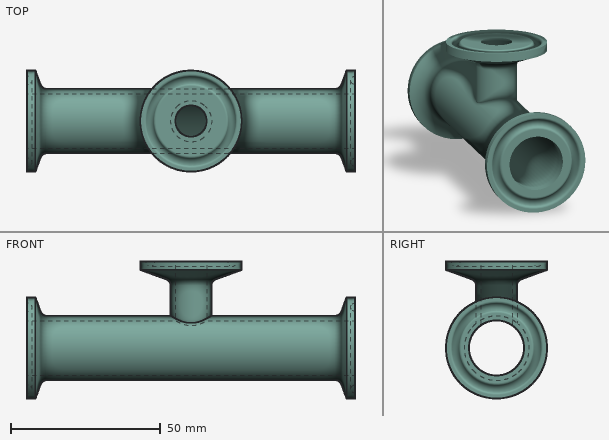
import math

import cadquery as cq

RUN_LENGTH = 110.0
RUN_OUTER_RADIUS = 21.7 / 2
RUN_BORE_RADIUS = 18.4 / 2

BRANCH_HEIGHT = 29.0
BRANCH_OUTER_RADIUS = 13.8 / 2
BRANCH_BORE_RADIUS = 10.5 / 2

FLANGE_RADIUS = 34.0 / 2
RIM_THICKNESS = 2.85
CONE_ANGLE = math.radians(20)
NECK_FILLET = 2.0

GROOVE_RADIUS = 27.5 / 2
GROOVE_WIDTH = 4.0
GROOVE_LIP_RADIUS = 0.8
GROOVE_WALL_ANGLE = math.radians(67)
GROOVE_WALL_LENGTH = 0.4


def flanged_end(tube_radius, length):
    """Solid tube along Z, with its flange face at z = 0 and the tube running to z = length."""
    cone_end = RIM_THICKNESS + (FLANGE_RADIUS - tube_radius) * math.tan(CONE_ANGLE)

    turn = math.pi / 2 - CONE_ANGLE
    setback = NECK_FILLET * math.tan(turn / 2)
    cone_tangent = (
        tube_radius + setback * math.cos(CONE_ANGLE),
        cone_end - setback * math.sin(CONE_ANGLE),
    )
    tube_tangent = (tube_radius, cone_end + setback)
    fillet_centre = (tube_radius + NECK_FILLET, cone_end + setback)
    mid_angle = turn / 2
    fillet_mid = (
        fillet_centre[0] - NECK_FILLET * math.cos(mid_angle),
        fillet_centre[1] - NECK_FILLET * math.sin(mid_angle),
    )

    profile = (
        cq.Workplane("XZ")
        .lineTo(FLANGE_RADIUS, 0)
        .lineTo(FLANGE_RADIUS, RIM_THICKNESS)
        .lineTo(*cone_tangent)
        .threePointArc(fillet_mid, tube_tangent)
        .lineTo(tube_radius, length)
        .lineTo(0, length)
        .close()
    )
    body = profile.revolve(360, (0, 0, 0), (0, 1, 0))
    return body.cut(gasket_groove())


def gasket_groove():
    """Ring to remove from a flange face at z = 0, reaching into z > 0."""
    sine = math.sin(GROOVE_WALL_ANGLE)
    cosine = math.cos(GROOVE_WALL_ANGLE)
    half_angle = GROOVE_WALL_ANGLE / 2

    lip_start = GROOVE_WIDTH / 2
    lip_mid = lip_start - GROOVE_LIP_RADIUS * math.sin(half_angle)
    lip_mid_depth = GROOVE_LIP_RADIUS * (1 - math.cos(half_angle))
    wall_top = lip_start - GROOVE_LIP_RADIUS * sine
    wall_top_depth = GROOVE_LIP_RADIUS * (1 - cosine)
    wall_foot = wall_top - GROOVE_WALL_LENGTH * cosine
    wall_foot_depth = wall_top_depth + GROOVE_WALL_LENGTH * sine
    bottom_depth = wall_foot_depth + wall_foot * math.tan(half_angle)

    profile = (
        cq.Workplane("XZ")
        .moveTo(GROOVE_RADIUS - lip_start, 0)
        .threePointArc(
            (GROOVE_RADIUS - lip_mid, lip_mid_depth),
            (GROOVE_RADIUS - wall_top, wall_top_depth),
        )
        .lineTo(GROOVE_RADIUS - wall_foot, wall_foot_depth)
        .threePointArc(
            (GROOVE_RADIUS, bottom_depth),
            (GROOVE_RADIUS + wall_foot, wall_foot_depth),
        )
        .lineTo(GROOVE_RADIUS + wall_top, wall_top_depth)
        .threePointArc(
            (GROOVE_RADIUS + lip_mid, lip_mid_depth),
            (GROOVE_RADIUS + lip_start, 0),
        )
        .close()
    )
    return profile.revolve(360, (0, 0, 0), (0, 1, 0))


def run_half(side):
    """Half of the run, with its flange on the -X end (side = -1) or the +X end (side = 1)."""
    half_length = RUN_LENGTH / 2
    half = flanged_end(RUN_OUTER_RADIUS, half_length)
    return half.rotate((0, 0, 0), (0, 1, 0), -90 * side).translate((side * half_length, 0, 0))


def branch():
    """Branch from the run axis up to its flange face."""
    upright = flanged_end(BRANCH_OUTER_RADIUS, BRANCH_HEIGHT)
    return upright.rotate((0, 0, 0), (1, 0, 0), 180).translate((0, 0, BRANCH_HEIGHT))


run_bore = cq.Workplane("YZ").circle(RUN_BORE_RADIUS).extrude(RUN_LENGTH / 2, both=True)
branch_bore = cq.Workplane("XY").circle(BRANCH_BORE_RADIUS).extrude(BRANCH_HEIGHT)

solid_tee = run_half(-1).union(run_half(1)).union(branch()).clean()
result = solid_tee.cut(run_bore).cut(branch_bore)